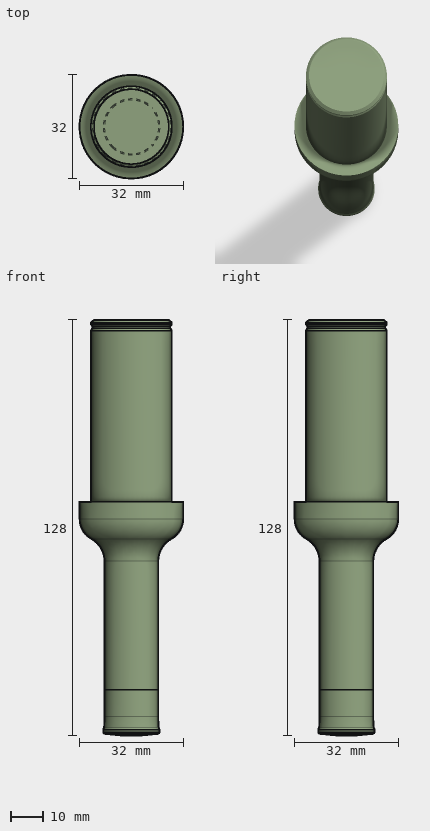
import cadquery as cq
import math

TOTAL_LENGTH = 128.0
SPLIT_HEIGHT = 14.1
NECK_RADIUS = 16.6 / 2

END_FLAT_RADIUS = 3.1
CONE_HEIGHT = 0.5
CONE_RADIUS = 8.3
RIM_RADIUS = 8.7
RIM_BOTTOM = 1.0
RIM_TOP = 1.8
FLARE_RADIUS = 8.5
FLARE_BOTTOM = 2.5
FLARE_TOP = 6.0

COLLAR_RADIUS = 32.0 / 2
COLLAR_TOP = 72.0
COLLAR_EDGE_BOTTOM = 66.8
NECK_TOP = 53.8
COLLAR_ARC_RADIUS = 7.2

SHANK_RADIUS = 25.0 / 2
END_FACE_RADIUS = 11.5
END_CHAMFER_HEIGHT = 0.9
GROOVE_RADIUS = 12.0
GROOVE_TOP = 126.6
GROOVE_FLOOR_TOP = 126.1
GROOVE_FLOOR_BOTTOM = 125.5
GROOVE_BOTTOM = 124.7


def revolve_profile(profile):
    """Revolve a closed radius-height outline fully around Z."""
    return profile.close().revolve(360, (0, 0, 0), (0, 1, 0))


def make_tip():
    flare_step = FLARE_RADIUS - NECK_RADIUS
    flare_middle = (NECK_RADIUS + flare_step / 4, (FLARE_TOP + FLARE_BOTTOM) / 2)
    profile = (
        cq.Workplane("XZ")
        .moveTo(0, 0)
        .lineTo(END_FLAT_RADIUS, 0)
        .lineTo(CONE_RADIUS, CONE_HEIGHT)
        .lineTo(RIM_RADIUS, RIM_BOTTOM)
        .lineTo(RIM_RADIUS, RIM_TOP)
        .lineTo(FLARE_RADIUS, FLARE_BOTTOM)
        .threePointArc(flare_middle, (NECK_RADIUS, FLARE_TOP))
        .lineTo(NECK_RADIUS, SPLIT_HEIGHT)
        .lineTo(0, SPLIT_HEIGHT)
    )
    return revolve_profile(profile)


def make_holder():
    step = COLLAR_RADIUS - NECK_RADIUS
    height = COLLAR_EDGE_BOTTOM - NECK_TOP
    radius_sum = (step**2 + height**2) / (2 * step)
    neck_arc_radius = radius_sum - COLLAR_ARC_RADIUS
    turn_angle = math.asin(height / radius_sum)

    def neck_arc_point(angle):
        return (
            NECK_RADIUS + neck_arc_radius * (1 - math.cos(angle)),
            NECK_TOP + neck_arc_radius * math.sin(angle),
        )

    def collar_arc_point(angle):
        return (
            COLLAR_RADIUS - COLLAR_ARC_RADIUS * (1 - math.cos(angle)),
            COLLAR_EDGE_BOTTOM - COLLAR_ARC_RADIUS * math.sin(angle),
        )

    profile = (
        cq.Workplane("XZ")
        .moveTo(0, SPLIT_HEIGHT)
        .lineTo(NECK_RADIUS, SPLIT_HEIGHT)
        .lineTo(NECK_RADIUS, NECK_TOP)
        .threePointArc(neck_arc_point(turn_angle / 2), neck_arc_point(turn_angle))
        .threePointArc(collar_arc_point(turn_angle / 2), collar_arc_point(0))
        .lineTo(COLLAR_RADIUS, COLLAR_TOP)
        .lineTo(SHANK_RADIUS, COLLAR_TOP)
        .lineTo(SHANK_RADIUS, GROOVE_BOTTOM)
        .lineTo(GROOVE_RADIUS, GROOVE_FLOOR_BOTTOM)
        .lineTo(GROOVE_RADIUS, GROOVE_FLOOR_TOP)
        .lineTo(SHANK_RADIUS, GROOVE_TOP)
        .lineTo(SHANK_RADIUS, TOTAL_LENGTH - END_CHAMFER_HEIGHT)
        .lineTo(END_FACE_RADIUS, TOTAL_LENGTH)
        .lineTo(0, TOTAL_LENGTH)
    )
    return revolve_profile(profile)


tip = make_tip()
holder = make_holder()

result = cq.Compound.makeCompound([tip.val(), holder.val()])